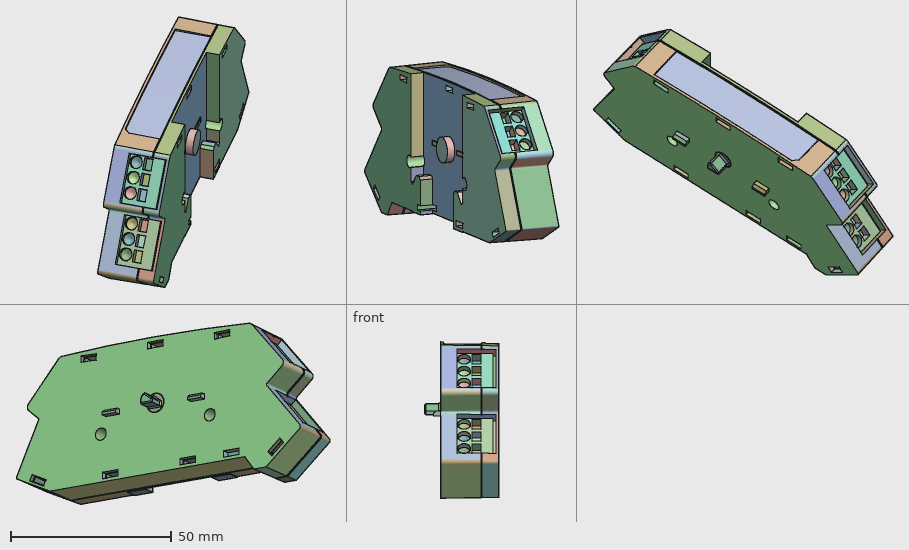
import cadquery as cq
import math


housing_width = 18.2
draft_angle = 0.8
crown_height = 48.9
roof_end = (34.6, 47.9)
upper_face_top = (35.6, 47.3)
shoulder = (47.7, 33.1)
front_notch = (-40.7, 26.9)
back_notch = (42.8, 28.8)
front_nose = (-53.7, 11.2)
back_nose = (51.2, 10.6)
base_height = 4.6
back_foot = (38.7, base_height)
front_foot = (-32.9, base_height)
foot_inner = (-36.2, 0.0)
foot_outer = (-40.7, 0.0)
shoulder_radius = 1.6
nose_radius = 1.1
small_radius = 0.5
cut_margin = 1.0

seam_x = 12.6
seam_width = 0.3
seam_depth = 0.3
label_start_x = 0.9
label_half_length = 28.0
label_corner = 1.7
label_depth = 0.6

waist_width = 13.9
end_block_y = 18.9
clip_inner_y = 12.1
clip_crest_y = 15.0
clip_hollow_y = 18.0
clip_chamfer = 0.9
clip_height = 16.7
clip_hollow_height = 13.4
clip_root_height = 14.1
rib_height = 0.3
rib_inner_y = 6.0
rib_thickness = 1.5

coupling_z = 27.3
boss_radius = 4.1
boss_length = 2.5
plug_length = 5.0
plug_key_corner = (-1.3, -1.9)
plug_round_side = 2.4
plug_round_middle = (1.0, 2.3)
plug_peak = (2.3, 1.0)
plug_base_length = 0.6
plug_flare = 0.4
plug_tip_chamfer = 0.4
recess_ring_radius = 3.1
recess_ring_width = 0.1
recess_ring_depth = 0.1
tab_y = 15.7
tab_length = 4.9
tab_bottom = 25.7
tab_height = 1.7
tab_reach = 2.3
tab_chamfer = 0.9

hole_y = 20.0
hole_z = 20.2
hole_diameter = 4.0
window_length = 5.6
window_height = 2.1
window_rim = 0.4
window_rim_depth = 1.7
blind_window_depth = 2.6
base_window_z = 6.7
back_edge_angle = math.degrees(
    math.atan2(back_nose[1] - back_foot[1], back_nose[0] - back_foot[0]))
front_edge_angle = math.degrees(
    math.atan2(front_nose[1] - foot_outer[1], front_nose[0] - foot_outer[0]))
windows = [
    (24.5, 45.8, 2),
    (0, 46.4, 0),
    (-24.5, 45.8, -2),
    (16.6, base_window_z, 0),
    (-11.9, base_window_z, 0),
    (43.2, 8.9, back_edge_angle),
    (-44.2, 6.0, front_edge_angle),
]
blind_window_y = -27.9

pocket_start_x = 5.1
pocket_end_x = 17.2
pocket_length = 15.8
pocket_depth = 2.3
gap_width = 0.8
gap_depth = 1.0
terminal_pitch = 4.9
terminal_count = 3
terminal_middle = 7.2
clamp_x = 7.3
clamp_radius = 2.0
clamp_depth = 1.9
clamp_point_depth = 1.3
wire_x = 11.2
wire_width = 2.7
wire_height = 3.8
wire_depth = 3.1
pocket_offset = 0.7


def mirrored(point):
    return (-point[0], point[1])


def near(point):
    return cq.NearestToPointSelector((point[0], point[1], 0))


def side_outline():
    """Side outline in the YZ plane with its rounded corners."""
    corners = [
        roof_end, upper_face_top, shoulder, back_notch, back_nose, back_foot,
        front_foot, foot_inner, foot_outer, front_nose, front_notch,
        mirrored(shoulder), mirrored(upper_face_top), mirrored(roof_end),
    ]
    outline = cq.Sketch().arc(mirrored(roof_end), (0, crown_height), roof_end)
    for start, end in zip(corners, corners[1:]):
        outline = outline.segment(start, end)
    outline = outline.assemble()
    roundings = [
        (shoulder_radius, [shoulder, mirrored(shoulder)]),
        (nose_radius, [front_nose]),
        (small_radius, [back_nose, front_notch, back_notch]),
    ]
    for radius, points in roundings:
        for point in points:
            outline = outline.reset().vertices(near(point)).fillet(radius)
    return outline.reset()


def box(x_range, y_range, z_range):
    """Box between the given (low, high) limits."""
    sizes = [high - low for low, high in (x_range, y_range, z_range)]
    corner = (x_range[0], y_range[0], z_range[0])
    return cq.Workplane("XY").box(*sizes, centered=False).translate(corner)


def side_plane(x):
    """Workplane facing +X: local x is Y and local y is Z."""
    return cq.Workplane("YZ", origin=(x, 0, 0))


def make_shell():
    shell = cq.Workplane("YZ").placeSketch(side_outline()).extrude(housing_width, taper=draft_angle)
    waist = box((waist_width, housing_width), (-end_block_y, end_block_y), (0, crown_height))
    return shell.cut(waist)


def seam_groove():
    """Shallow groove running all round the housing."""
    drawn_in = seam_depth + seam_x * math.tan(math.radians(draft_angle))
    half_length = max(back_nose[0], -front_nose[0]) + cut_margin
    slab = box(
        (seam_x, seam_x + seam_width),
        (-half_length, half_length),
        (-cut_margin, crown_height + cut_margin),
    )
    core = (
        side_plane(seam_x)
        .placeSketch(side_outline().wires().offset(-drawn_in, mode="r").reset())
        .extrude(seam_width)
    )
    return slab.cut(core)


def label_recess():
    """Recess for the label: its floor follows the roof arc, one corner is cut off."""
    roof_y, roof_z = roof_end
    above = crown_height + cut_margin
    layer = (
        side_plane(label_start_x)
        .moveTo(-roof_y, roof_z - label_depth)
        .threePointArc((0, crown_height - label_depth), (roof_y, roof_z - label_depth))
        .lineTo(roof_y, above)
        .lineTo(-roof_y, above)
        .close()
        .extrude(seam_x - label_start_x)
    )
    plan = (
        cq.Workplane("XY")
        .polyline([
            (seam_x, -label_half_length),
            (seam_x, label_half_length),
            (label_start_x, label_half_length),
            (label_start_x, -label_half_length + label_corner),
            (label_start_x + label_corner, -label_half_length),
        ])
        .close()
        .extrude(above)
    )
    return layer.intersect(plan)


def rail_clip():
    """Clip beside the +Y end block, with a hollow towards the block."""
    return (
        side_plane(waist_width)
        .moveTo(clip_inner_y, base_height)
        .lineTo(clip_inner_y, clip_height - clip_chamfer)
        .lineTo(clip_inner_y + clip_chamfer, clip_height)
        .lineTo(clip_crest_y, clip_height)
        .lineTo(clip_hollow_y, clip_hollow_height)
        .lineTo(end_block_y, clip_root_height)
        .lineTo(end_block_y, base_height)
        .close()
        .extrude(housing_width - waist_width)
    )


def waist_rib():
    """Thin rib on the waist between the boss and the +Y clip."""
    half_thickness = rib_thickness / 2
    return box(
        (waist_width, waist_width + rib_height),
        (rib_inner_y, clip_inner_y),
        (coupling_z - half_thickness, coupling_z + half_thickness),
    )


def locating_tab(y):
    profile = [
        (0, tab_bottom),
        (-tab_reach, tab_bottom),
        (-tab_reach, tab_bottom + tab_height / 2),
        (-tab_reach + tab_chamfer, tab_bottom + tab_height),
        (0, tab_bottom + tab_height),
    ]
    tab = cq.Workplane("XZ").polyline(profile).close().extrude(tab_length / 2, both=True)
    return tab.translate((0, y, 0))


def plug_profile():
    """Key-shaped plug section: flat below, sloping on the -Y side, round on the +Y side."""
    bottom, key_side = plug_key_corner
    return (
        cq.Workplane("ZY", origin=(0, 0, coupling_z))
        .moveTo(bottom, key_side)
        .lineTo(bottom, plug_round_side)
        .threePointArc(plug_round_middle, plug_peak)
        .lineTo(0, key_side)
        .close()
    )


def coupling_plug():
    stem = plug_profile().extrude(plug_length).faces("<X").chamfer(plug_tip_chamfer)
    flare_angle = math.degrees(math.atan2(plug_flare, plug_base_length))
    flare = plug_profile().offset2D(plug_flare, "intersection").extrude(
        plug_base_length, taper=flare_angle)
    return stem.union(flare)


def coupling_boss():
    return (
        side_plane(waist_width).center(0, coupling_z).circle(boss_radius).extrude(boss_length)
    )


def coupling_ring():
    """Fine circular groove around the plug."""
    return (
        side_plane(0)
        .center(0, coupling_z)
        .circle(recess_ring_radius)
        .circle(recess_ring_radius - recess_ring_width)
        .extrude(recess_ring_depth)
    )


def window_cut(y, z, tilt, length, height, depth):
    return side_plane(0).center(y, z).transformed(rotate=(0, 0, tilt)).rect(length, height).extrude(depth)


def latch_window(y, z, tilt):
    """Window through the housing with a stepped rim on the -X face."""
    rim = window_cut(y, z, tilt, window_length, window_height, window_rim_depth)
    opening = window_cut(
        y, z, tilt, window_length - 2 * window_rim, window_height - window_rim, housing_width)
    return rim.union(opening)


def terminal_pocket(top, bottom):
    """Pocket with a terminal block in the sloping face that runs from top to bottom (Y, Z)."""
    run = bottom[0] - top[0]
    drop = top[1] - bottom[1]
    outward = math.copysign(1, run)
    face = cq.Plane(origin=(0, *top), xDir=(1, 0, 0), normal=(0, outward * drop, abs(run)))
    floor = cq.Workplane(face).workplane(offset=-pocket_depth)
    middle_y = outward * (pocket_offset + pocket_length / 2)
    width = pocket_end_x - pocket_start_x
    pocket = (
        floor.center(pocket_start_x + width / 2, middle_y)
        .rect(width, pocket_length)
        .extrude(2 * pocket_depth)
    )
    gap = (
        floor.center(pocket_end_x - gap_width / 2, middle_y)
        .rect(gap_width, pocket_length)
        .extrude(-gap_depth)
    )
    pocket = pocket.union(gap)
    for index in range(terminal_count):
        step = index - (terminal_count - 1) / 2
        y = outward * (pocket_offset + terminal_middle + step * terminal_pitch)
        clamp = floor.center(clamp_x, y).circle(clamp_radius).extrude(-clamp_depth)
        cone_start = floor.plane.toWorldCoords((clamp_x, y, -clamp_depth))
        cone = cq.Solid.makeCone(clamp_radius, 0, clamp_point_depth, cone_start, -face.zDir)
        clamp = clamp.union(cq.Workplane(cone))
        wire = floor.center(wire_x, y).rect(wire_width, wire_height).extrude(-wire_depth)
        pocket = pocket.union(clamp).union(wire)
    return pocket


result = make_shell().cut(seam_groove()).cut(label_recess())

for side_feature in (rail_clip(), waist_rib()):
    result = result.union(side_feature).union(side_feature.mirror("XZ"))

result = result.union(coupling_boss()).cut(coupling_ring()).union(coupling_plug())
for tab_center in (-tab_y, tab_y):
    result = result.union(locating_tab(tab_center))

terminal_faces = [
    (mirrored(upper_face_top), mirrored(shoulder)),
    (front_notch, front_nose),
    (upper_face_top, shoulder),
]
for face_top, face_bottom in terminal_faces:
    result = result.cut(terminal_pocket(face_top, face_bottom))

holes = (
    side_plane(0)
    .pushPoints([(-hole_y, hole_z), (hole_y, hole_z)])
    .circle(hole_diameter / 2)
    .extrude(housing_width)
)
result = result.cut(holes)
for window_y, window_z, window_tilt in windows:
    result = result.cut(latch_window(window_y, window_z, window_tilt))
result = result.cut(
    window_cut(blind_window_y, base_window_z, 0, window_length, window_height, blind_window_depth))